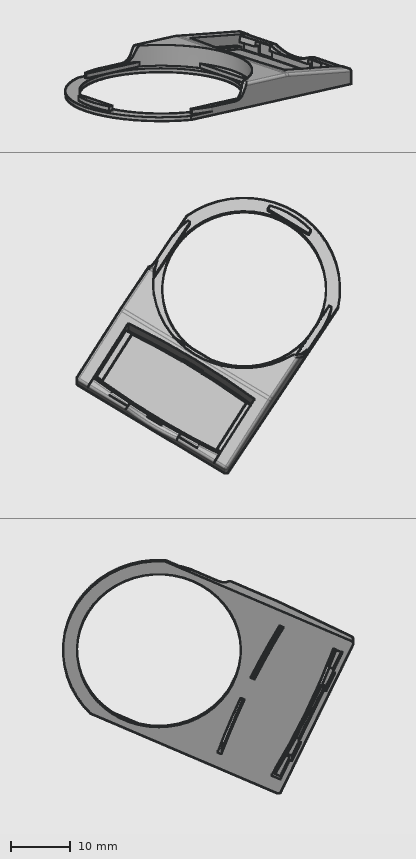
import cadquery as cq
import math


width = 29.9
half_width = width / 2
back_y = 29.0
total_height = 4.3

ring_outer_radius = 16.0
ring_bore_radius = 13.65
ring_thickness = 0.7

lip_top_z = 1.5
lip_chord_distance = 13.72
lip_outer_radius = 15.0
side_lip_end_y = -4.85
front_lip_half_width = 4.05

recess_radius = 15.2
roof_angle = 7.0
roof_ridge_y = 15.05
roof_ridge_radius = 5.0
edge_radius = 0.5
shoulder_y = 6.35
shoulder_angle = 64.0
shoulder_top_radius = 0.5
shoulder_foot_radius = 2.1

window_half_width = 12.45
window_front_y = 16.45
window_back_y = 26.6
bow = 0.55

floor_depth = 2.3
floor_front_y = 17.15
floor_back_y = 26.35
floor_ledge_depth = 1.9
floor_ledge_start_x = 11.3
bridge_half_width = 2.0
bridge_z = ring_thickness

bar_drop = 0.1
bar_lean = 13.0
bar_round_radius = 0.9
bar_round_trim = 0.35
bar_wall_thickness = 0.65
bar_lip_bottom_z = 1.5
bar_gap_top_z = 2.4
bar_pad_projection = 0.4
bar_middle_pad_half_width = 5.05
bar_end_pad_start_x = 8.65
notch_half_width = 5.0
notch_depth = 1.0


def box(x0, x1, y0, y1, z0, z1):
    """Block between two opposite corners."""
    return cq.Workplane("XY").box(x1 - x0, y1 - y0, z1 - z0, centered=False).translate((x0, y0, z0))


def disc(radius, z0, z1):
    """Disc around the ring axis."""
    return cq.Workplane("XY").workplane(offset=z0).circle(radius).extrude(z1 - z0)


def roof_z(y):
    """Height of the sloping roof behind the ridge."""
    return total_height - (y - roof_ridge_y) * math.tan(math.radians(roof_angle))


def bowed_block(front_y, rear_y, z0, z1, lean=0.0):
    """Window-wide block with bowed front and rear edges, leaning towards +Y by an angle in degrees."""
    outline = (
        cq.Workplane("XY")
        .workplane(offset=z0)
        .moveTo(-window_half_width, front_y)
        .threePointArc((0, front_y - bow), (window_half_width, front_y))
        .lineTo(window_half_width, rear_y)
        .threePointArc((0, rear_y + bow), (-window_half_width, rear_y))
        .close()
    )
    height = z1 - z0
    direction = cq.Vector(0, height * math.tan(math.radians(lean)), height)
    return cq.Workplane(obj=cq.Solid.extrudeLinear(outline.val(), [], direction))


def make_ring_plate():
    """Thin base plate: the ring, flattened at the sides and widened towards the frame."""
    strip = box(-half_width, half_width, -ring_outer_radius, back_y, 0, ring_thickness)
    rear = box(-half_width, half_width, 0, recess_radius, 0, ring_thickness)
    return disc(ring_outer_radius, 0, ring_thickness).intersect(strip).union(rear)


def make_shoulder_cutter():
    """Space in front of the raised body, bounded by a rounded slope down to lip height."""
    angle = math.radians(shoulder_angle)
    foot_y = shoulder_y - (total_height - lip_top_z) / math.tan(angle)
    top_tangent = shoulder_top_radius * math.tan(angle / 2)
    clearance = 1.0
    cutter = (
        cq.Workplane("YZ")
        .moveTo(shoulder_y + top_tangent, total_height)
        .radiusArc(
            (shoulder_y - top_tangent * math.cos(angle), total_height - top_tangent * math.sin(angle)),
            -shoulder_top_radius,
        )
        .lineTo(foot_y, lip_top_z)
        .lineTo(-clearance, lip_top_z)
        .lineTo(-clearance, total_height + clearance)
        .lineTo(shoulder_y + top_tangent, total_height + clearance)
        .close()
        .extrude(half_width + clearance, both=True)
    )
    foot = cq.selectors.NearestToPointSelector((0, foot_y, lip_top_z))
    return cutter.edges(foot).fillet(shoulder_foot_radius)


def make_body():
    """Raised body with its sloping roof, rounded edges, front shoulder and round recess."""
    body = (
        cq.Workplane("YZ")
        .moveTo(0, 0)
        .lineTo(back_y, 0)
        .lineTo(back_y, roof_z(back_y))
        .lineTo(roof_ridge_y, total_height)
        .lineTo(0, total_height)
        .close()
        .extrude(half_width, both=True)
    )
    ridge = cq.selectors.NearestToPointSelector((0, roof_ridge_y, total_height))
    body = body.edges(ridge).fillet(roof_ridge_radius)
    body = body.edges("|Z and >Y").fillet(edge_radius)
    body = body.faces(">Z").edges("<X or >X").fillet(edge_radius)
    body = body.cut(make_shoulder_cutter())
    return body.cut(disc(recess_radius, ring_thickness, total_height))


def make_lips():
    """Four lips with straight inner faces: one at each side, one at the front, one at the back."""
    rear_half = box(-half_width, half_width, 0, recess_radius, 0, lip_top_z)
    sides = box(-half_width, half_width, -recess_radius, recess_radius, 0, lip_top_z)
    outline = disc(recess_radius, 0, lip_top_z).intersect(rear_half)
    outline = outline.union(disc(lip_outer_radius, 0, lip_top_z)).intersect(sides)
    c = lip_chord_distance
    zones = [
        box(-half_width, -c, side_lip_end_y, c, 0, lip_top_z),
        box(c, half_width, side_lip_end_y, c, 0, lip_top_z),
        box(-front_lip_half_width, front_lip_half_width, -recess_radius, -c, 0, lip_top_z),
        box(-half_width, half_width, c, recess_radius, 0, lip_top_z),
    ]
    lips = outline.intersect(zones[0])
    for zone in zones[1:]:
        lips = lips.union(outline.intersect(zone))
    return lips


def space_above_floor(depth, half_x):
    """Space above a plane that lies parallel to the roof at the given depth below it."""
    start_y = window_front_y - bow
    return (
        cq.Workplane("YZ")
        .moveTo(start_y, roof_z(start_y) - depth)
        .lineTo(back_y, roof_z(back_y) - depth)
        .lineTo(back_y, total_height)
        .lineTo(start_y, total_height)
        .close()
        .extrude(half_x, both=True)
    )


def make_floor():
    """Sloping label floor with a raised ledge at each end and a bridge to the front of the window."""
    floor = bowed_block(floor_front_y, floor_back_y, 0, total_height)
    floor = floor.cut(space_above_floor(floor_ledge_depth, half_width))
    floor = floor.cut(space_above_floor(floor_depth, floor_ledge_start_x))
    bridge_start_y = window_front_y - 2 * bow
    bridge = box(-bridge_half_width, bridge_half_width, bridge_start_y, floor_front_y, 0, bridge_z)
    return floor.union(bridge)


def bar_top_z(y):
    """Height of the bar top, slightly below the roof."""
    return roof_z(y) - bar_drop


def make_finger_notch():
    """Shallow cylindrical dip whose axis runs parallel to the sloping bar top."""
    radius = (notch_half_width**2 + notch_depth**2) / (2 * notch_depth)
    slope = math.radians(roof_angle)
    top_of_back = cq.Plane(
        origin=(0, back_y, bar_top_z(back_y)),
        xDir=(-1, 0, 0),
        normal=(0, math.cos(slope), -math.sin(slope)),
    )
    return (
        cq.Workplane(top_of_back)
        .center(0, radius - notch_depth)
        .circle(radius)
        .extrude(back_y - roof_ridge_y, both=True)
    )


def make_bar():
    """Snap bar at the back of the window: bowed inside, notched on top, undercut below."""
    untrimmed_y = window_back_y - bar_round_trim
    start_y = untrimmed_y - bow
    bar = (
        cq.Workplane("YZ")
        .moveTo(start_y, 0)
        .lineTo(back_y, 0)
        .lineTo(back_y, bar_top_z(back_y))
        .lineTo(start_y, bar_top_z(start_y))
        .close()
        .extrude(window_half_width, both=True)
    )
    bar = bar.cut(bowed_block(window_front_y, untrimmed_y, 0, total_height, bar_lean))
    bar = bar.cut(make_finger_notch())
    inner_top_edges = cq.selectors.BoxSelector(
        (-window_half_width, start_y, bar_lip_bottom_z),
        (window_half_width, back_y - bar_round_radius, total_height),
    )
    bar = bar.edges("not #X").edges(inner_top_edges).fillet(bar_round_radius)
    bar = bar.faces(">Y").edges("not |Z").edges("not <Z").fillet(edge_radius)
    bar = bar.cut(bowed_block(window_front_y, window_back_y, 0, total_height, bar_lean))
    for cutter in make_bar_undercuts():
        bar = bar.cut(cutter)
    return bar


def make_bar_undercuts():
    """Spaces under the bar that leave a thin wall carrying a middle pad and two end pads."""
    wall_y = back_y - bar_wall_thickness
    pad_y = wall_y - bar_pad_projection
    start_y = window_back_y - bow
    under_lip = box(-window_half_width, window_half_width, start_y, pad_y, 0, bar_lip_bottom_z)
    x0 = bar_middle_pad_half_width
    x1 = bar_end_pad_start_x
    right_gap = box(x0, x1, start_y, wall_y, 0, bar_gap_top_z)
    return [under_lip, right_gap, right_gap.mirror("YZ")]


window = bowed_block(window_front_y, back_y, 0, total_height)

result = (
    make_ring_plate()
    .union(make_body())
    .union(make_lips())
    .cut(disc(ring_bore_radius, 0, ring_thickness))
    .cut(window)
    .union(make_floor())
    .union(make_bar())
)